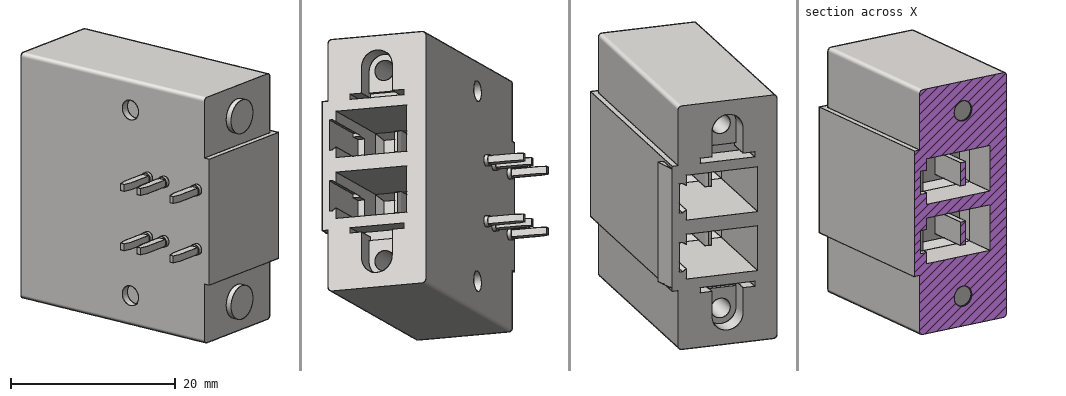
import cadquery as cq
import math


height = 31.35
body_depth = 12.8
mid_y = body_depth / 2
edge_radius = 0.5
step = 0.75
total_length = 29.25
body_length = total_length - step
saddle_height = 16.08

latch_length = 3.07
latch_height = 15.35

screw_z = 11.85
boss_diameter = 4.25

hole_diameter = 2.5
screw_hole_depth = 6.27
locating_hole_x = 17.02
locating_hole_depth = 1.0

recess_width = 4.0
recess_depth = 2.5
nut_slot_depth = 3.0
nut_bar_width = 7.02
nut_bar_low_z = 8.0
nut_bar_high_z = 8.65
nut_stem_high_z = 9.18

pocket_pitch = 7.58
pocket_low_y = 2.5
pocket_high_y = 11.72
pocket_height = 5.77
pocket_depth = 14.1
pocket_taper_inset = 0.65
pocket_taper_angle = 30.0

keyway_high_y = 12.6
groove_half_height = 1.88
groove_mouth_half_height = 1.57
groove_straight_depth = 0.38
groove_length = 7.85
key_slot_height = 2.88
key_slot_length = 9.4

blade_thickness = 0.75
blade_height = 3.0
blade_length = 7.85
blade_tip_length = 0.75
blade_tip_thickness = 0.38
blade_tip_height = 2.5

pin_xs = (19.78, 22.3, 27.4)
pin_length = 5.0
pin_width = 1.03
pin_thickness = 0.88
pin_tip_width = 0.53
pin_tip_length = 1.0
collar_diameter = 1.38
collar_length = 0.5

pocket_zs = (-pocket_pitch / 2, pocket_pitch / 2)
pocket_mid_y = (pocket_low_y + pocket_high_y) / 2
pocket_width = pocket_high_y - pocket_low_y


def block(x0, x1, y0, y1, z0, z1):
    """Box between two opposite corners."""
    return cq.Workplane("XY").box(x1 - x0, y1 - y0, z1 - z0, centered=False).translate((x0, y0, z0))


def plane_at_x(x, y, z):
    """Plane facing +X, with its local axes along +Y and +Z."""
    return cq.Workplane(cq.Plane(origin=(x, y, z), xDir=(0, 1, 0), normal=(1, 0, 0)))


def frustum(x0, size0, x1, size1, y, z):
    """Rectangle lofted along X; each size is (Y, Z)."""
    return plane_at_x(x0, y, z).rect(*size0).workplane(offset=x1 - x0).rect(*size1).loft(ruled=True)


def make_housing():
    housing = block(0, body_length, 0, body_depth, -height / 2, height / 2)
    housing = housing.edges("|X").fillet(edge_radius)
    half_saddle = saddle_height / 2
    saddle = block(0, total_length, 0, body_depth + step, -half_saddle, half_saddle)
    return housing.union(saddle)


def make_latch():
    base_y = body_depth + step
    profile = [(0, base_y), (latch_length, base_y), (latch_length, base_y + step)]
    return cq.Workplane("XY").polyline(profile).close().extrude(latch_height / 2, both=True)


def make_boss(side):
    return plane_at_x(body_length, mid_y, side * screw_z).circle(boss_diameter / 2).extrude(step)


def make_screw_recess():
    """Round-ended recess, nut slot and screw hole on the +Z side."""
    half_width = recess_width / 2
    left, right = mid_y - half_width, mid_y + half_width
    half_bar = nut_bar_width / 2
    recess = plane_at_x(0, mid_y, screw_z).circle(half_width).extrude(recess_depth)
    recess = recess.union(block(0, recess_depth, left, right, nut_bar_low_z, screw_z))
    stem = block(0, nut_slot_depth, left, right, nut_bar_low_z, nut_stem_high_z)
    bar = block(0, nut_slot_depth, mid_y - half_bar, mid_y + half_bar, nut_bar_low_z, nut_bar_high_z)
    hole = plane_at_x(recess_depth, mid_y, screw_z).circle(hole_diameter / 2).extrude(screw_hole_depth)
    return recess.union(stem).union(bar).union(hole)


def make_locating_hole(side):
    center = (locating_hole_x, side * screw_z)
    return cq.Workplane("XZ").center(*center).circle(hole_diameter / 2).extrude(-locating_hole_depth)


def make_pocket(z):
    """Straight pocket with a tapered inner end, and its keyway."""
    taper_length = pocket_taper_inset / math.tan(math.radians(pocket_taper_angle))
    straight_depth = pocket_depth - taper_length
    mouth = (pocket_width, pocket_height)
    floor = (pocket_width - 2 * pocket_taper_inset, pocket_height - 2 * pocket_taper_inset)
    pocket = frustum(0, mouth, straight_depth, mouth, pocket_mid_y, z)
    pocket = pocket.union(frustum(straight_depth, mouth, pocket_depth, floor, pocket_mid_y, z))

    lip_y = keyway_high_y - groove_straight_depth
    groove_outline = [
        (pocket_high_y, -groove_mouth_half_height),
        (lip_y, -groove_half_height),
        (keyway_high_y, -groove_half_height),
        (keyway_high_y, groove_half_height),
        (lip_y, groove_half_height),
        (pocket_high_y, groove_mouth_half_height),
    ]
    groove = plane_at_x(0, 0, z).polyline(groove_outline).close().extrude(groove_length)
    half_key = key_slot_height / 2
    key_slot = block(0, key_slot_length, pocket_high_y, keyway_high_y, z - half_key, z + half_key)
    return pocket.union(groove).union(key_slot)


def make_blade(z):
    """Contact blade with a tapered tip pointing at the open end."""
    tip_x = pocket_depth - blade_length
    shoulder_x = tip_x + blade_tip_length
    section = (blade_thickness, blade_height)
    tip_section = (blade_tip_thickness, blade_tip_height)
    tip = frustum(tip_x, tip_section, shoulder_x, section, mid_y, z)
    return tip.union(frustum(shoulder_x, section, pocket_depth, section, mid_y, z))


def make_pin(x, z):
    """Flat solder pin with a round collar and a tip narrowed in X."""
    collar = cq.Workplane("XZ").center(x, z).circle(collar_diameter / 2).extrude(collar_length)
    half_width = pin_width / 2
    half_tip = pin_tip_width / 2
    shoulder_y = pin_tip_length - pin_length
    outline = [
        (x - half_width, 0),
        (x - half_width, shoulder_y),
        (x - half_tip, -pin_length),
        (x + half_tip, -pin_length),
        (x + half_width, shoulder_y),
        (x + half_width, 0),
    ]
    pin = cq.Workplane("XY", origin=(0, 0, z)).polyline(outline).close()
    return pin.extrude(pin_thickness / 2, both=True).union(collar)


part = make_housing().union(make_latch())

screw_recess = make_screw_recess()
part = part.cut(screw_recess).cut(screw_recess.mirror("XY"))

for side in (-1, 1):
    part = part.union(make_boss(side)).cut(make_locating_hole(side))

for pocket_z in pocket_zs:
    part = part.cut(make_pocket(pocket_z)).union(make_blade(pocket_z))
    for pin_x in pin_xs:
        part = part.union(make_pin(pin_x, pocket_z))

result = part